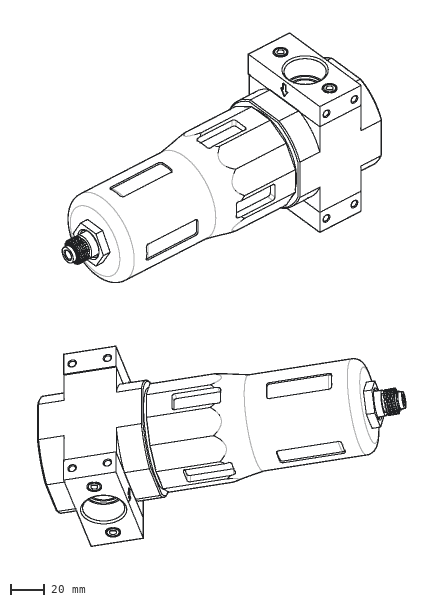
import cadquery as cq
import math


HEAD_TOP_Y = 32.9
HEAD_BOTTOM_Y = -32.7
HEAD_HALF_WIDTH = 33.0
SEAT_HALF_HEIGHT = 32.7
HEAD_RADIUS = 35.7
HEAD_CHAMFER = 0.9
HEAD_BORE_DIA = 20.2

BLOCK_LENGTH = 32.5
PLATE_WIDTH = 67.0
PLATE_THICKNESS = 15.3
PLATE_RIGHT_X = HEAD_HALF_WIDTH
PLATE_LEFT_X = PLATE_RIGHT_X - PLATE_WIDTH
PLATE_CENTER_X = (PLATE_LEFT_X + PLATE_RIGHT_X) / 2
PLATE_CENTER_Z = SEAT_HALF_HEIGHT + PLATE_THICKNESS / 2
PORT_DIA = 25.5
PORT_FLOOR_DIA = 24.5
PORT_DEPTH = 13.5
PORT_THROAT_DIA = 22.4
PORT_MOUTH_DIA = 27.8

SIDE_HOLE_DIA = 4.2
SIDE_HOLE_MOUTH_DIA = 5.3
SIDE_HOLE_DEPTH = 8.8
SIDE_HOLE_OFFSET_Y = 11.0
SIDE_HOLE_Z = 40.0

ARROW_LENGTH = 9.2
ARROW_HEAD_LENGTH = 4.5
ARROW_HEAD_WIDTH = 6.1
ARROW_SHAFT_WIDTH = 2.5
ARROW_DEPTH = 0.5

SCREW_OFFSET_X = 23.0
SCREW_HEAD_DIA = 8.5
SCREW_HEAD_TOP_DIA = 7.2
SCREW_RECESS_DIA = 9.0
SCREW_HEAD_HEIGHT = 5.5
SCREW_SHANK_DIA = 6.0
SCREW_LENGTH = 22.0
SOCKET_DIA = 4.2
SOCKET_DEPTH = 2.6

DRILL_POINT_ANGLE = 118.0

NECK_DIA = 62.0
GRIP_SIDES = 12
GRIP_APOTHEM = 32.2
GRIP_CORNER_RADIUS = GRIP_APOTHEM / math.cos(math.pi / GRIP_SIDES)
BOWL_RADIUS = 29.4
BOWL_END_FILLET = 6.1
NECK_LENGTH = 2.0
GRIP_TOP_Y = HEAD_BOTTOM_Y - NECK_LENGTH
TAPER_TOP_Y = -74.3
TAPER_BOTTOM_Y = -94.7
BOWL_BOTTOM_Y = -164.9

WINDOW_WIDTH = 12.0
WINDOW_CORNER_RADIUS = 1.8
GRIP_WINDOW_Y = (-80.7, -50.6)
BOWL_WINDOW_Y = (-148.9, -108.5)
WINDOW_FLOOR_RADIUS = 28.0
FLOOR_ROUNDING_Y = -146.7
FLOOR_ROUNDING_RADIUS = 4.8

NUT_ACROSS_FLATS = 24.5
NUT_HEIGHT = 5.3
NUT_BORE_DIA = 18.0
NUT_BORE_MOUTH_DIA = 19.7

VALVE_COLLAR_DIA = 15.8
VALVE_NECK_DIA = 11.6
VALVE_TIP_DIA = 10.5
VALVE_BORE_DIA = 6.0
VALVE_BORE_MOUTH_DIA = 7.0
VALVE_BORE_DEPTH = 6.5
COLLAR_BOTTOM_Y = -174.0
RIB_COUNT = 3
RIB_TOP_Y = -175.8
RIB_PITCH = 2.5
RIB_THICKNESS = 1.3
RIB_SLOTS = 16
RIB_SLOT_WIDTH = 1.3
NECK_BOTTOM_Y = RIB_TOP_Y - (RIB_COUNT - 1) * RIB_PITCH - RIB_THICKNESS
TIP_RIM_TOP_Y = -183.0
TIP_RIM_BOTTOM_Y = -184.0
VALVE_BOTTOM_Y = HEAD_TOP_Y - 219.2


def cylinder_y(diameter, y_top, y_bottom):
    """Cylinder on the Y axis between two heights."""
    return cq.Workplane("XZ", origin=(0, y_top, 0)).circle(diameter / 2).extrude(y_top - y_bottom)


def frustum(start, direction, diameter, end_diameter, length):
    """Cone frustum that narrows from `diameter` at `start` along `direction`."""
    cone = cq.Solid.makeCone(diameter / 2, end_diameter / 2, length, cq.Vector(*start), cq.Vector(*direction))
    return cq.Workplane(obj=cone)


def blind_hole(start, direction, diameter, depth):
    """Drilled hole with a conical bottom."""
    start = cq.Vector(*start)
    direction = cq.Vector(*direction)
    point_length = diameter / 2 / math.tan(math.radians(DRILL_POINT_ANGLE / 2))
    shaft = cq.Solid.makeCylinder(diameter / 2, depth, start, direction)
    point = cq.Solid.makeCone(diameter / 2, 0, point_length, start + direction * depth, direction)
    return cq.Workplane(obj=shaft).union(cq.Workplane(obj=point))


def screw_places():
    """X position and Z direction of every plate screw."""
    return [(x, side) for side in (1, -1) for x in (-SCREW_OFFSET_X, SCREW_OFFSET_X)]


def screw_envelope(x, side, head_diameter):
    """Head and shank of a plate screw, with the head flush with the plate's outer face."""
    face_z = side * (SEAT_HALF_HEIGHT + PLATE_THICKNESS)
    inward = cq.Vector(0, 0, -side)
    start = cq.Vector(x, 0, face_z)
    head = cq.Solid.makeCylinder(head_diameter / 2, SCREW_HEAD_HEIGHT, start, inward)
    shank = cq.Solid.makeCylinder(SCREW_SHANK_DIA / 2, SCREW_LENGTH, start, inward)
    return cq.Workplane(obj=head).union(cq.Workplane(obj=shank))


def make_screw(x, side):
    """Plate screw with a bevelled head and a drilled socket."""
    face_z = side * (SEAT_HALF_HEIGHT + PLATE_THICKNESS)
    bevel = (SCREW_HEAD_DIA - SCREW_HEAD_TOP_DIA) / 2
    screw = screw_envelope(x, side, SCREW_HEAD_DIA)
    screw = screw.faces(">Z" if side > 0 else "<Z").chamfer(bevel)
    return screw.cut(blind_hole((x, 0, face_z), (0, 0, -side), SOCKET_DIA, SOCKET_DEPTH))


def make_head():
    head_length = HEAD_TOP_Y - HEAD_BOTTOM_Y
    center_y = (HEAD_TOP_Y + HEAD_BOTTOM_Y) / 2
    width = 2 * HEAD_HALF_WIDTH

    body = cylinder_y(2 * HEAD_RADIUS, HEAD_TOP_Y, HEAD_BOTTOM_Y)
    body = body.intersect(cq.Workplane("XY", origin=(0, center_y, 0)).box(width, head_length, width))
    body = body.faces("<Y or >Y").chamfer(HEAD_CHAMFER)

    block = cq.Workplane("XY").box(width, BLOCK_LENGTH, 2 * SEAT_HALF_HEIGHT)
    seat_slot = cq.Workplane("XY").box(width, BLOCK_LENGTH, width)
    head = body.cut(seat_slot).union(block)

    head = head.cut(cq.Workplane("XY").circle(HEAD_BORE_DIA / 2).extrude(SEAT_HALF_HEIGHT, both=True))

    for x, side in screw_places():
        head = head.cut(screw_envelope(x, side, SCREW_RECESS_DIA))
    return head


def flow_arrow(center_z):
    """Cutter for the arrow, pointing to -Z, in the -Y face of a plate."""
    shaft = ARROW_SHAFT_WIDTH / 2
    barb = ARROW_HEAD_WIDTH / 2
    top = ARROW_LENGTH / 2
    barb_z = ARROW_HEAD_LENGTH - ARROW_LENGTH / 2
    right_side = [(shaft, top), (shaft, barb_z), (barb, barb_z)]
    left_side = [(-x, z) for x, z in reversed(right_side)]
    outline = right_side + [(0, -top)] + left_side
    face = cq.Workplane("XZ", origin=(PLATE_CENTER_X, -BLOCK_LENGTH / 2, center_z))
    return face.polyline(outline).close().extrude(-ARROW_DEPTH)


def make_plate(side):
    """Port plate on the +Z (side = 1) or -Z (side = -1) flat of the head."""
    center_z = side * PLATE_CENTER_Z
    outer_z = side * (SEAT_HALF_HEIGHT + PLATE_THICKNESS)
    inward = (0, 0, -side)
    plate = cq.Workplane("XY", origin=(PLATE_CENTER_X, 0, center_z))
    plate = plate.box(PLATE_WIDTH, BLOCK_LENGTH, PLATE_THICKNESS)

    chamfer = (PORT_MOUTH_DIA - PORT_DIA) / 2
    outer_center = (0, 0, outer_z)
    plate = plate.cut(frustum(outer_center, inward, PORT_MOUTH_DIA, PORT_DIA, chamfer))
    plate = plate.cut(frustum(outer_center, inward, PORT_DIA, PORT_FLOOR_DIA, PORT_DEPTH))
    throat = cq.Workplane("XY", origin=(0, 0, center_z)).circle(PORT_THROAT_DIA / 2)
    plate = plate.cut(throat.extrude(PLATE_THICKNESS / 2, both=True))

    for x in (-SCREW_OFFSET_X, SCREW_OFFSET_X):
        plate = plate.cut(screw_envelope(x, side, SCREW_RECESS_DIA))

    mouth_depth = (SIDE_HOLE_MOUTH_DIA - SIDE_HOLE_DIA) / 2
    for end_x, direction in ((PLATE_LEFT_X, (1, 0, 0)), (PLATE_RIGHT_X, (-1, 0, 0))):
        for y in (-SIDE_HOLE_OFFSET_Y, SIDE_HOLE_OFFSET_Y):
            start = (end_x, y, side * SIDE_HOLE_Z)
            plate = plate.cut(blind_hole(start, direction, SIDE_HOLE_DIA, SIDE_HOLE_DEPTH))
            plate = plate.cut(frustum(start, direction, SIDE_HOLE_MOUTH_DIA, SIDE_HOLE_DIA, mouth_depth))

    return plate.cut(flow_arrow(center_z))


def window_cutters(y_range):
    """Four rounded windows, one on each side of the bowl, reaching in to the axis."""
    y_low, y_high = y_range
    window = (
        cq.Workplane("XY", origin=(0, (y_low + y_high) / 2, 0))
        .rect(WINDOW_WIDTH, y_high - y_low)
        .extrude(GRIP_CORNER_RADIUS)
        .edges("|Z")
        .fillet(WINDOW_CORNER_RADIUS)
    )
    return [window.rotate((0, 0, 0), (0, 1, 0), quarter * 90) for quarter in range(4)]


def window_core():
    """Round core, rounded at its lower end, that forms the floors of the windows."""
    bottom_y = FLOOR_ROUNDING_Y - FLOOR_ROUNDING_RADIUS
    core = cylinder_y(2 * WINDOW_FLOOR_RADIUS, GRIP_TOP_Y, bottom_y)
    return core.faces("<Y").edges().fillet(FLOOR_ROUNDING_RADIUS)


def make_bowl():
    outline = (
        cq.Workplane("XY")
        .moveTo(0, GRIP_TOP_Y)
        .lineTo(GRIP_CORNER_RADIUS, GRIP_TOP_Y)
        .lineTo(GRIP_CORNER_RADIUS, TAPER_TOP_Y)
        .lineTo(BOWL_RADIUS, TAPER_BOTTOM_Y)
        .lineTo(BOWL_RADIUS, BOWL_BOTTOM_Y)
        .lineTo(0, BOWL_BOTTOM_Y)
        .close()
    )
    bowl = outline.revolve(360, (0, 0, 0), (0, 1, 0))
    bowl = bowl.faces("<Y").edges().fillet(BOWL_END_FILLET)

    half_side_angle = 180 / GRIP_SIDES
    grip = (
        cq.Workplane("XZ", origin=(0, GRIP_TOP_Y, 0))
        .polygon(GRIP_SIDES, 2 * GRIP_CORNER_RADIUS)
        .extrude(GRIP_TOP_Y - BOWL_BOTTOM_Y)
        .rotate((0, 0, 0), (0, 1, 0), half_side_angle)
    )
    bowl = bowl.intersect(grip)
    bowl = bowl.union(cylinder_y(NECK_DIA, HEAD_BOTTOM_Y, GRIP_TOP_Y))

    core = window_core()
    for y_range in (GRIP_WINDOW_Y, BOWL_WINDOW_Y):
        for window in window_cutters(y_range):
            bowl = bowl.cut(window.cut(core))
    return bowl


def make_nut():
    corner_dia = NUT_ACROSS_FLATS / math.cos(math.pi / 6)
    nut_bottom_y = BOWL_BOTTOM_Y - NUT_HEIGHT
    nut = cq.Workplane("XZ", origin=(0, BOWL_BOTTOM_Y, 0)).polygon(6, corner_dia).extrude(NUT_HEIGHT)
    nut = nut.cut(cylinder_y(NUT_BORE_DIA, BOWL_BOTTOM_Y, nut_bottom_y))
    chamfer = (NUT_BORE_MOUTH_DIA - NUT_BORE_DIA) / 2
    return nut.cut(frustum((0, nut_bottom_y, 0), (0, 1, 0), NUT_BORE_MOUTH_DIA, NUT_BORE_DIA, chamfer))


def knurled_rib(y_top):
    """Thin disc with radial slots around its rim."""
    y_bottom = y_top - RIB_THICKNESS
    rib = cylinder_y(VALVE_COLLAR_DIA, y_top, y_bottom)
    slots = (
        cq.Workplane("XZ", origin=(0, y_top, 0))
        .polarArray(VALVE_COLLAR_DIA / 2, 0, 360, RIB_SLOTS)
        .rect(VALVE_COLLAR_DIA - VALVE_NECK_DIA, RIB_SLOT_WIDTH)
        .extrude(RIB_THICKNESS)
    )
    return rib.cut(slots)


def make_valve():
    valve = cylinder_y(VALVE_COLLAR_DIA, BOWL_BOTTOM_Y, COLLAR_BOTTOM_Y)
    valve = valve.union(cylinder_y(VALVE_NECK_DIA, COLLAR_BOTTOM_Y, NECK_BOTTOM_Y))
    for index in range(RIB_COUNT):
        valve = valve.union(knurled_rib(RIB_TOP_Y - index * RIB_PITCH))

    valve = valve.union(cylinder_y(VALVE_TIP_DIA, NECK_BOTTOM_Y, VALVE_BOTTOM_Y))
    valve = valve.union(cylinder_y(VALVE_NECK_DIA, TIP_RIM_TOP_Y, TIP_RIM_BOTTOM_Y))

    valve = valve.cut(cylinder_y(VALVE_BORE_DIA, VALVE_BOTTOM_Y + VALVE_BORE_DEPTH, VALVE_BOTTOM_Y))
    chamfer = (VALVE_BORE_MOUTH_DIA - VALVE_BORE_DIA) / 2
    mouth = (0, VALVE_BOTTOM_Y, 0)
    return valve.cut(frustum(mouth, (0, 1, 0), VALVE_BORE_MOUTH_DIA, VALVE_BORE_DIA, chamfer))


head = make_head()
plates = [make_plate(side) for side in (1, -1)]
screws = [make_screw(x, side) for x, side in screw_places()]
bowl = make_bowl()
nut = make_nut()
valve = make_valve()

result = cq.Compound.makeCompound([
    head.val(),
    *[plate.val() for plate in plates],
    *[screw.val() for screw in screws],
    bowl.val(),
    nut.val(),
    valve.val(),
])